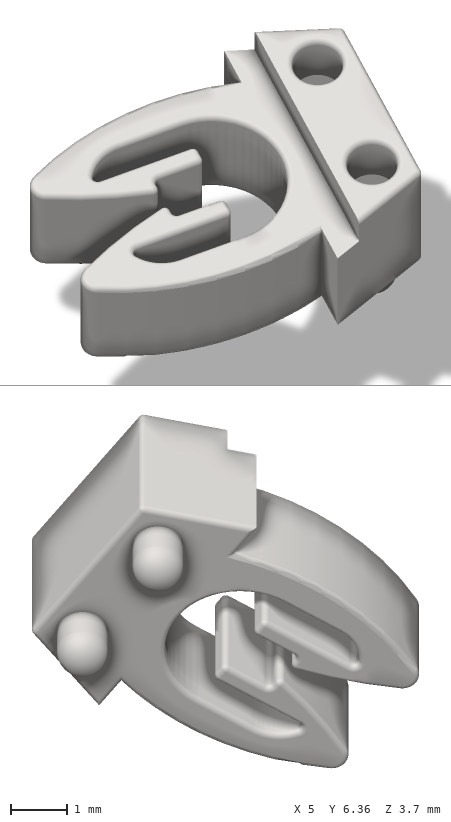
import cadquery as cq
import math

total_length = 6.36
block_width = 5.0
block_rear_width = 3.5
block_depth = 1.985
block_height = 2.695
clip_height = 2.1
step_y = 0.5
edge_radius = 0.1

pin_diameter = 0.9
pin_length = 1.005
pin_spacing = 2.4
pin_y = 1.245
socket_depth = pin_length
pin_centres = [(-pin_spacing / 2, pin_y), (pin_spacing / 2, pin_y)]

clip_half_width = 2.02
clip_widest_y = -1.59
clip_curve_radius = 5.725
tip_radius = 0.3
tip_y = block_depth - total_length

opening_radius = 1.35
opening_arc_y = -opening_radius
opening_straight_end_y = -2.56
pocket_curve_radius = 0.815

arm_outer_x = 0.81
arm_inner_x = 0.445
arm_end_y = -1.305
hook_ledge_y = -2.29
hook_x = 0.145
lead_in_radius = 8.905

tiny = 0.0005


def clip_curve_x(y):
    """Half width of the clip's outer curve at a given Y."""
    centre_x = clip_half_width - clip_curve_radius
    return centre_x + math.sqrt(clip_curve_radius**2 - (y - clip_widest_y) ** 2)


def tip_centre():
    """Centre of the tip circle, which touches the outer curve from inside."""
    y = tip_y + tip_radius
    reach = clip_curve_radius - tip_radius
    x = clip_half_width - clip_curve_radius + math.sqrt(reach**2 - (y - clip_widest_y) ** 2)
    return x, y


def outer_tangent_point():
    """Point where the outer curve runs into the tip circle."""
    x, y = tip_centre()
    centre_x = clip_half_width - clip_curve_radius
    stretch = clip_curve_radius / (clip_curve_radius - tip_radius)
    return centre_x + (x - centre_x) * stretch, clip_widest_y + (y - clip_widest_y) * stretch


def lead_in_centre(tip_x, tip_centre_y):
    """Centre of the lead-in arc: through the hook corner and touching the tip circle."""
    reach = lead_in_radius - tip_radius
    dx = hook_x - tip_x
    dy = hook_ledge_y - tip_centre_y
    gap = math.hypot(dx, dy)
    along = (reach**2 - lead_in_radius**2 + gap**2) / (2 * gap)
    across = math.sqrt(reach**2 - along**2)
    return tip_x + (along * dx + across * dy) / gap, tip_centre_y + (along * dy - across * dx) / gap


def point_between(centre, radius, start, end):
    """Middle of the shorter arc from start to end."""
    dx = (start[0] + end[0]) / 2 - centre[0]
    dy = (start[1] + end[1]) / 2 - centre[1]
    length = math.hypot(dx, dy)
    return centre[0] + radius * dx / length, centre[1] + radius * dy / length


def mirrored_about_x0(half):
    """A half together with its mirror image on the other side of X = 0."""
    return half.union(half.mirror("YZ"))


def clip_half():
    """The +X half of the clip: outer limb, tip, hook and spring arm."""
    tip = tip_centre()
    outer_end = outer_tangent_point()
    lead_centre = lead_in_centre(*tip)
    stretch = lead_in_radius / (lead_in_radius - tip_radius)
    lead_end = tuple(c + (t - c) * stretch for c, t in zip(lead_centre, tip))
    hook_corner = (hook_x, hook_ledge_y)
    lead_middle = point_between(lead_centre, lead_in_radius, lead_end, hook_corner)

    pocket_centre_x = opening_radius - pocket_curve_radius
    pocket_end_y = opening_straight_end_y - math.sqrt(
        pocket_curve_radius**2 - (arm_outer_x - pocket_centre_x) ** 2
    )
    pocket_end = (arm_outer_x, pocket_end_y)
    pocket_start = (opening_radius, opening_straight_end_y)
    pocket_middle = point_between(
        (pocket_centre_x, opening_straight_end_y), pocket_curve_radius, pocket_start, pocket_end
    )
    opening_start = (opening_radius, opening_arc_y)
    opening_end = (0, opening_arc_y + opening_radius)
    opening_middle = point_between((0, opening_arc_y), opening_radius, opening_start, opening_end)
    root_x = clip_curve_x(0)

    half = (
        cq.Workplane("XY")
        .moveTo(0, step_y)
        .lineTo(root_x, step_y)
        .lineTo(root_x, 0)
        .threePointArc((clip_half_width, clip_widest_y), outer_end)
        .threePointArc((tip[0], tip_y), lead_end)
        .threePointArc(lead_middle, hook_corner)
        .lineTo(arm_inner_x, hook_ledge_y)
        .lineTo(arm_inner_x, arm_end_y)
        .lineTo(arm_outer_x, arm_end_y)
        .lineTo(*pocket_end)
        .threePointArc(pocket_middle, pocket_start)
        .lineTo(*opening_start)
        .threePointArc(opening_middle, opening_end)
        .close()
        .extrude(clip_height)
    )
    corners = [
        hook_corner,
        (arm_inner_x, hook_ledge_y),
        (arm_inner_x, arm_end_y),
        (arm_outer_x, arm_end_y),
        pocket_end,
    ]
    for x, y in corners:
        nearby = cq.selectors.BoxSelector((x - tiny, y - tiny, 0), (x + tiny, y + tiny, clip_height))
        half = half.edges("|Z").edges(nearby).fillet(edge_radius)
    return half


def block():
    """Tapered mounting block with a low front step."""
    outline = [
        (-block_width / 2, 0),
        (block_width / 2, 0),
        (block_rear_width / 2, block_depth),
        (-block_rear_width / 2, block_depth),
    ]
    body = cq.Workplane("XY").polyline(outline).close().extrude(block_height)
    step = cq.Workplane("XY").box(
        block_width, step_y, block_height - clip_height, centered=(True, False, False)
    )
    body = body.cut(step.translate((0, 0, clip_height)))
    body = body.edges("|Z").edges(">Y").fillet(edge_radius)
    top_rim = cq.selectors.BoxSelector(
        (-block_width, step_y + tiny, block_height - tiny),
        (block_width, block_depth + tiny, block_height + tiny),
    )
    return body.edges(top_rim).fillet(edge_radius)


def round_clip_edges(body):
    """Round the clip's upper rim, then everything around the underside."""
    upper_rim = cq.selectors.BoxSelector(
        (-block_width, tip_y, clip_height - tiny),
        (block_width, -tiny, clip_height + tiny),
    )
    body = body.edges(upper_rim).fillet(edge_radius)
    return body.faces("<Z").edges().fillet(edge_radius)


def pins():
    """Pins with hemispherical ends, rooted inside the block."""
    radius = pin_diameter / 2
    root_z = clip_height / 2
    shank = cq.Workplane("XY", origin=(0, 0, radius - pin_length)).pushPoints(pin_centres)
    shank = shank.circle(radius).extrude(root_z + pin_length - radius)
    ends = cq.Workplane("XY", origin=(0, 0, radius - pin_length)).pushPoints(pin_centres).sphere(radius)
    return shank.union(ends)


def cut_sockets(body):
    """Blind sockets with rounded mouths in the top of the block."""
    sockets = (
        cq.Workplane("XY", origin=(0, 0, block_height))
        .pushPoints(pin_centres)
        .circle(pin_diameter / 2)
        .extrude(-socket_depth)
    )
    body = body.cut(sockets)
    return body.faces(">Z").edges("%CIRCLE").fillet(edge_radius)


result = block().union(mirrored_about_x0(clip_half()))
result = round_clip_edges(result)
result = cut_sockets(result)
result = result.union(pins())